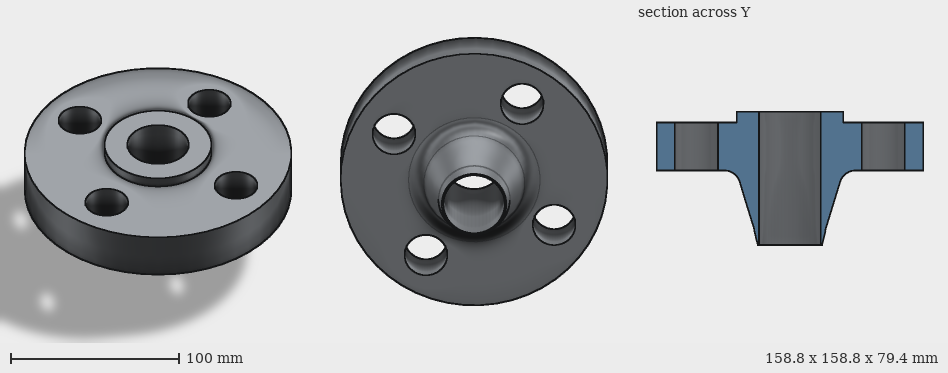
import cadquery as cq
import math

flange_diameter = 158.8
flange_thickness = 28.7
face_diameter = 63.5
face_height = 6.4
total_height = 79.4
bore_diameter = 36.5

bolt_count = 4
bolt_hole_diameter = 25.4
bolt_circle_diameter = 111.1

tip_diameter = 38.4
bevel_top_diameter = 42.5
bevel_height = 8.3
land_height = 1.0
cone_base_diameter = 60.0
fillet_radius = 9.5

face_bottom = total_height - face_height
flange_bottom = face_bottom - flange_thickness
bevel_top = bevel_height
land_top = bevel_top + land_height

cone_base_radius = cone_base_diameter / 2
land_radius = bevel_top_diameter / 2


def arc_drop(cone_angle):
    """Height of the fillet arc below the flange for a cone at this angle from the axis."""
    return fillet_radius * (1 - math.sin(cone_angle))


def cone_slope_angle():
    """Angle of the cone from the axis, settled by repeated substitution."""
    angle = 0.0
    for _ in range(30):
        cone_height = flange_bottom - arc_drop(angle) - land_top
        angle = math.atan2(cone_base_radius - land_radius, cone_height)
    return angle


def arc_point(angle):
    """Point on the fillet arc whose tangent makes this angle with the axis."""
    center_radius = cone_base_radius + fillet_radius * math.cos(cone_slope_angle())
    return (
        center_radius - fillet_radius * math.cos(angle),
        flange_bottom - arc_drop(angle),
    )


def flange_body():
    """Revolve the half section, bore included, around Z."""
    cone_angle = cone_slope_angle()
    middle_angle = (cone_angle + math.pi / 2) / 2
    return (
        cq.Workplane("XZ")
        .moveTo(bore_diameter / 2, 0)
        .lineTo(tip_diameter / 2, 0)
        .lineTo(land_radius, bevel_top)
        .lineTo(land_radius, land_top)
        .lineTo(*arc_point(cone_angle))
        .threePointArc(arc_point(middle_angle), arc_point(math.pi / 2))
        .lineTo(flange_diameter / 2, flange_bottom)
        .lineTo(flange_diameter / 2, face_bottom)
        .lineTo(face_diameter / 2, face_bottom)
        .lineTo(face_diameter / 2, total_height)
        .lineTo(bore_diameter / 2, total_height)
        .close()
        .revolve(360, (0, 0), (0, 1))
    )


def bolt_holes():
    """Cylinders through the flange, evenly spaced on the bolt circle."""
    return (
        cq.Workplane("XY")
        .workplane(offset=flange_bottom)
        .polarArray(bolt_circle_diameter / 2, 0, 360, bolt_count)
        .circle(bolt_hole_diameter / 2)
        .extrude(flange_thickness)
    )


result = flange_body().cut(bolt_holes())